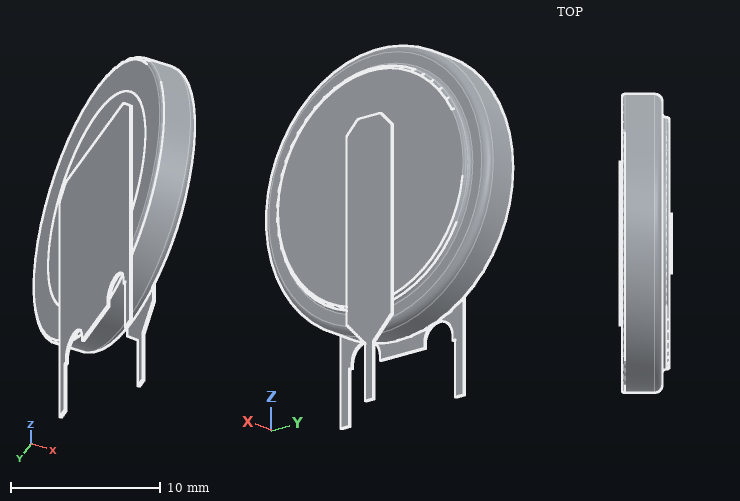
import cadquery as cq

cell_diameter = 20.05
cell_thickness = 3.2
overall_height = 25.02
tab_thickness = 0.15

can_depth = 2.73
cap_radius = 8.45
can_back_fillet = 0.23
can_front_fillet = 0.55
cap_root_fillet = 0.23
cap_edge_fillet = 0.23

disc_radius = 7.58
disc_depth = tab_thickness

tab_top = 5.0
tab_chamfer = 1.0
plate_bottom = -10.95
can_tab_width = 10.95
can_leg_width = 0.78
notch_width = 2.5
notch_height = 1.6
notch_offset = 3.23
cap_tab_width = 4.0
cap_pin_width = 0.73

cell_radius = cell_diameter / 2
can_face_x = -cell_thickness / 2
cap_face_x = cell_thickness / 2
can_step_x = can_face_x + can_depth
pin_bottom = cell_radius - overall_height


def make_cell():
    """Button cell: a round can and a smaller raised cap, revolved about the X axis."""
    return (
        cq.Workplane("XY")
        .moveTo(can_face_x, 0)
        .lineTo(can_face_x, cell_radius - can_back_fillet)
        .radiusArc((can_face_x + can_back_fillet, cell_radius), can_back_fillet)
        .lineTo(can_step_x - can_front_fillet, cell_radius)
        .radiusArc((can_step_x, cell_radius - can_front_fillet), can_front_fillet)
        .lineTo(can_step_x, cap_radius + cap_root_fillet)
        .radiusArc((can_step_x + cap_root_fillet, cap_radius), -cap_root_fillet)
        .lineTo(cap_face_x - cap_edge_fillet, cap_radius)
        .radiusArc((cap_face_x, cap_radius - cap_edge_fillet), cap_edge_fillet)
        .lineTo(cap_face_x, 0)
        .close()
        .revolve(360, (0, 0, 0), (1, 0, 0))
    )


def make_disc():
    return cq.Workplane("YZ", origin=(can_face_x, 0, 0)).circle(disc_radius).extrude(disc_depth)


def make_plate(width, height, bottom, face_x):
    """Upright strip centred on Y, growing toward +X from face_x."""
    return cq.Workplane("XY", origin=(face_x, 0, bottom)).box(
        tab_thickness, width, height, centered=(False, True, False)
    )


def make_can_tab():
    """Wide tab on the can face, with two legs and two round-topped notches."""
    face_x = can_face_x - tab_thickness
    tab = make_plate(can_tab_width, tab_top - pin_bottom, pin_bottom, face_x)
    tab = tab.faces(">Z").edges("|X").chamfer(tab_chamfer)
    leg_gap = can_tab_width - 2 * can_leg_width
    tab = tab.cut(make_plate(leg_gap, plate_bottom - pin_bottom, pin_bottom, face_x))

    notch_radius = notch_width / 2
    arc_start = plate_bottom + notch_height - notch_radius
    for side in (-1, 1):
        centre_y = side * notch_offset
        notch = (
            cq.Workplane("YZ", origin=(face_x, 0, 0))
            .moveTo(centre_y - notch_radius, plate_bottom)
            .lineTo(centre_y - notch_radius, arc_start)
            .threePointArc((centre_y, arc_start + notch_radius), (centre_y + notch_radius, arc_start))
            .lineTo(centre_y + notch_radius, plate_bottom)
            .close()
            .extrude(tab_thickness)
        )
        tab = tab.cut(notch)
    return tab


def make_cap_tab():
    """Narrow tab on the cap face, tapering at 45 degrees into one pin."""
    half_width = cap_tab_width / 2
    half_pin = cap_pin_width / 2
    taper_top = plate_bottom + half_width - half_pin
    half_outline = [
        (half_pin, pin_bottom),
        (half_pin, plate_bottom),
        (half_width, taper_top),
        (half_width, tab_top - tab_chamfer),
        (half_width - tab_chamfer, tab_top),
    ]
    mirrored = [(-y, z) for y, z in reversed(half_outline)]
    return (
        cq.Workplane("YZ", origin=(cap_face_x, 0, 0))
        .polyline(half_outline + mirrored)
        .close()
        .extrude(tab_thickness)
    )


disc = make_disc()
battery = make_cell().cut(disc).union(make_can_tab()).union(make_cap_tab())

result = cq.Compound.makeCompound([battery.solids().val(), disc.val()])